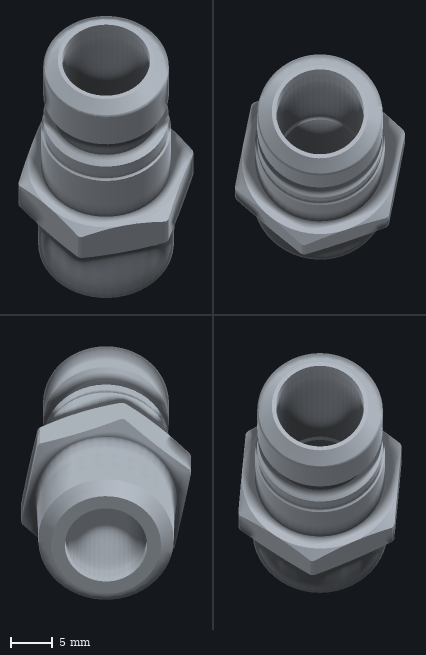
import cadquery as cq
import math

TOTAL_HEIGHT = 39.0
END_CHAMFER_HEIGHT = 1.45
THREAD_START_Z = 2.95
THREAD_END_Z = 10.02
HEX_BOTTOM_Z = 11.97
HEX_TOP_Z = 17.65
SHANK_BEVEL_Z = 25.0
SHANK_TOP_Z = 25.2
COLLAR_BEVEL_Z = 27.57
GROOVE_BOTTOM_Z = 28.3
GROOVE_TOP_Z = 31.3
HEAD_BEVEL_Z = 32.15
NOSE_BEVEL_Z = 37.75

END_FACE_RADIUS = 6.65
THREAD_SMALL_RADIUS = 8.23
THREAD_TAPER = 1 / 32
THREAD_LARGE_RADIUS = THREAD_SMALL_RADIUS + (THREAD_END_Z - THREAD_START_Z) * THREAD_TAPER
NECK_RADIUS = 8.58
SHANK_RADIUS = 15.8 / 2
HEAD_RADIUS = 15.25 / 2
GROOVE_RADIUS = 12.8 / 2
NOSE_RADIUS = 11.7 / 2
NOSE_ROUNDING = 0.43

HEX_ACROSS_FLATS = 19.0
HEX_CORNER_RADIUS = 21.7 / 2
HEX_TOP_CHAMFER_ANGLE = 30.0
HEX_BOTTOM_CHAMFER_ANGLE = 16.5

BORE_UPPER_RADIUS = 10.7 / 2
BORE_LOWER_RADIUS = 10.0 / 2
BORE_STEP_Z = HEX_TOP_Z
BORE_STEP_INCLUDED_ANGLE = 118.0


def revolve_profile(points):
    """Solid of revolution about Z from (radius, height) points."""
    return cq.Workplane("XZ").polyline(points).close().revolve(360, (0, 0, 0), (0, 1, 0))


def make_body():
    """Turned outside: tapered thread, shank, collar, groove and rounded nose."""
    body = revolve_profile([
        (0, 0),
        (END_FACE_RADIUS, 0),
        (THREAD_SMALL_RADIUS, END_CHAMFER_HEIGHT),
        (THREAD_SMALL_RADIUS, THREAD_START_Z),
        (THREAD_LARGE_RADIUS, THREAD_END_Z),
        (NECK_RADIUS, HEX_BOTTOM_Z),
        (SHANK_RADIUS, HEX_BOTTOM_Z),
        (SHANK_RADIUS, SHANK_BEVEL_Z),
        (HEAD_RADIUS, SHANK_TOP_Z),
        (HEAD_RADIUS, COLLAR_BEVEL_Z),
        (GROOVE_RADIUS, GROOVE_BOTTOM_Z),
        (GROOVE_RADIUS, GROOVE_TOP_Z),
        (HEAD_RADIUS, HEAD_BEVEL_Z),
        (HEAD_RADIUS, NOSE_BEVEL_Z),
        (NOSE_RADIUS, TOTAL_HEIGHT),
        (0, TOTAL_HEIGHT),
    ])
    nose_edge = cq.selectors.BoxSelector(
        (-HEAD_RADIUS, -HEAD_RADIUS, NOSE_BEVEL_Z - NOSE_ROUNDING),
        (HEAD_RADIUS, HEAD_RADIUS, NOSE_BEVEL_Z + NOSE_ROUNDING),
    )
    return body.edges(nose_edge).edges("%CIRCLE").fillet(NOSE_ROUNDING)


def make_hex():
    """Hexagon with corners on +Y and -Y, trimmed by chamfer cones and a corner cylinder."""
    top_radius = HEX_ACROSS_FLATS / 2
    top_drop = (HEX_CORNER_RADIUS - top_radius) * math.tan(math.radians(HEX_TOP_CHAMFER_ANGLE))
    bottom_rise = (HEX_CORNER_RADIUS - NECK_RADIUS) * math.tan(math.radians(HEX_BOTTOM_CHAMFER_ANGLE))
    prism = (
        cq.Workplane("XY")
        .workplane(offset=HEX_BOTTOM_Z)
        .polygon(6, HEX_ACROSS_FLATS, circumscribed=True)
        .extrude(HEX_TOP_Z - HEX_BOTTOM_Z)
    )
    envelope = revolve_profile([
        (0, HEX_BOTTOM_Z),
        (NECK_RADIUS, HEX_BOTTOM_Z),
        (HEX_CORNER_RADIUS, HEX_BOTTOM_Z + bottom_rise),
        (HEX_CORNER_RADIUS, HEX_TOP_Z - top_drop),
        (top_radius, HEX_TOP_Z),
        (0, HEX_TOP_Z),
    ])
    return prism.intersect(envelope)


def make_bore():
    """Through bore, wide above and narrow below a drill-point cone."""
    half_angle = math.radians(BORE_STEP_INCLUDED_ANGLE / 2)
    step_height = (BORE_UPPER_RADIUS - BORE_LOWER_RADIUS) / math.tan(half_angle)
    return revolve_profile([
        (0, 0),
        (BORE_LOWER_RADIUS, 0),
        (BORE_LOWER_RADIUS, BORE_STEP_Z - step_height),
        (BORE_UPPER_RADIUS, BORE_STEP_Z),
        (BORE_UPPER_RADIUS, TOTAL_HEIGHT),
        (0, TOTAL_HEIGHT),
    ])


result = make_body().union(make_hex(), clean=False).cut(make_bore(), clean=False)